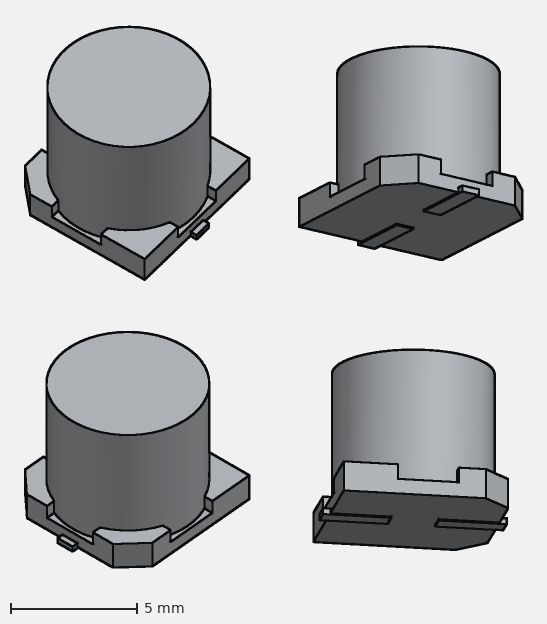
import cadquery as cq

overall_length = 7.39
overall_height = 6.15

base_width = 6.81
base_bottom = 0.05
base_top = 1.26
seat_height = 0.66
corner_cut = 1.1
notch_width = 2.45

can_diameter = 6.46

lead_length = 2.74
lead_width = 0.805
lead_thickness = 0.25


def make_can():
    """Plain cylinder standing on the seat of the base."""
    return (
        cq.Workplane("XY", origin=(0, 0, seat_height))
        .circle(can_diameter / 2)
        .extrude(overall_height - seat_height)
    )


def make_lead(side):
    """Flat bar reaching inward from the outer end; side is -1 or +1 along X."""
    center_x = side * (overall_length - lead_length) / 2
    return cq.Workplane("XY", origin=(center_x, 0, 0)).box(
        lead_length, lead_width, lead_thickness, centered=(True, True, False)
    )


def make_base(can, leads):
    """Square plate with four corner posts around the can and slots for the leads."""
    base = (
        cq.Workplane("XY", origin=(0, 0, base_bottom))
        .box(base_width, base_width, base_top - base_bottom, centered=(True, True, False))
        .edges("|Z and <X")
        .chamfer(corner_cut)
    )

    notch_floor = cq.Workplane("XY", origin=(0, 0, seat_height))
    notch_depth = base_top - seat_height
    base = base.cut(notch_floor.rect(base_width, notch_width).extrude(notch_depth))
    base = base.cut(notch_floor.rect(notch_width, base_width).extrude(notch_depth))

    base = base.cut(can)
    for lead in leads:
        base = base.cut(lead)
    return base


can = make_can()
leads = [make_lead(side) for side in (-1, 1)]
base = make_base(can, leads)

result = cq.Compound.makeCompound([base.val(), can.val(), *[lead.val() for lead in leads]])